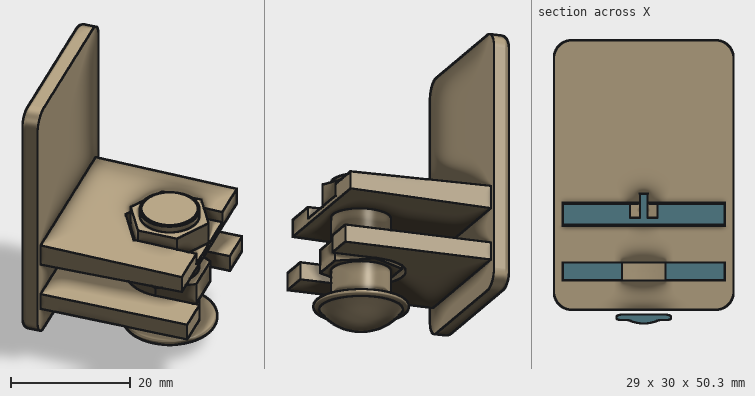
import cadquery as cq
import math

plate_thickness = 3.0
plate_width = 30.0
plate_height = 45.0
plate_top = 50.3
plate_corner_radius = 3.0
plate_edge_radius = 1.0

arm_width = 27.05
lower_arm_end = 29.0
lower_arm_bottom = 10.2
lower_arm_thickness = 3.0
lower_slot_width = 14.9
upper_arm_end = 28.05
upper_arm_middle = 21.2
upper_arm_root_thickness = 3.9
upper_arm_end_thickness = 3.0

head_radius = 8.0
bolt_x = lower_arm_end - head_radius
dome_height = 3.5
dome_radius = 7.0
flange_thickness = 1.0
shank_diameter = 10.0
shank_radius = shank_diameter / 2
bolt_top = 26.0
bolt_tip_chamfer_width = 0.3
bolt_tip_chamfer_height = 0.15

nut_across_flats = 11.95
nut_height = 4.0
upper_nut_top = 24.7
lower_nut_top = 14.35
pocket_width = 12.75
pocket_tip_x = 13.25
pocket_floor = upper_nut_top - nut_height


def make_plate():
    plate = (
        cq.Workplane("XY")
        .box(plate_thickness, plate_width, plate_height, centered=(False, True, False))
        .translate((0, 0, plate_top - plate_height))
    )
    return plate.edges("|X").fillet(plate_corner_radius).faces("<X").edges().fillet(plate_edge_radius)


def make_lower_arm():
    length = lower_arm_end - plate_thickness
    arm = (
        cq.Workplane("XY")
        .box(length, arm_width, lower_arm_thickness, centered=(False, True, False))
        .translate((plate_thickness, 0, lower_arm_bottom))
    )
    slot_radius = lower_slot_width / 2
    slot = (
        cq.Workplane("XY", origin=(0, 0, lower_arm_bottom))
        .moveTo(lower_arm_end, -slot_radius)
        .lineTo(bolt_x, -slot_radius)
        .threePointArc((bolt_x - slot_radius, 0), (bolt_x, slot_radius))
        .lineTo(lower_arm_end, slot_radius)
        .close()
        .extrude(lower_arm_thickness)
    )
    return arm.cut(slot)


def make_upper_arm():
    root_half = upper_arm_root_thickness / 2
    end_half = upper_arm_end_thickness / 2
    arm = (
        cq.Workplane("XZ")
        .moveTo(plate_thickness, upper_arm_middle - root_half)
        .lineTo(upper_arm_end, upper_arm_middle - end_half)
        .lineTo(upper_arm_end, upper_arm_middle + end_half)
        .lineTo(plate_thickness, upper_arm_middle + root_half)
        .close()
        .extrude(arm_width / 2, both=True)
    )
    half_width = pocket_width / 2
    shoulder_x = pocket_tip_x + half_width / math.tan(math.radians(60))
    pocket = (
        cq.Workplane("XY", origin=(0, 0, pocket_floor))
        .moveTo(pocket_tip_x, 0)
        .lineTo(shoulder_x, -half_width)
        .lineTo(upper_arm_end, -half_width)
        .lineTo(upper_arm_end, half_width)
        .lineTo(shoulder_x, half_width)
        .close()
        .extrude(upper_arm_root_thickness)
    )
    return arm.cut(pocket)


def make_bolt():
    sphere_radius = (dome_radius**2 + dome_height**2) / (2 * dome_height)
    half_angle = math.asin(dome_radius / sphere_radius) / 2
    arc_middle = (sphere_radius * math.sin(half_angle), sphere_radius * (1 - math.cos(half_angle)))
    flange_top = dome_height + flange_thickness
    rim_radius = flange_thickness / 2
    rim_middle = dome_height + rim_radius
    rim_start = head_radius - rim_radius
    return (
        cq.Workplane("XZ", origin=(bolt_x, 0, 0))
        .moveTo(0, 0)
        .threePointArc(arc_middle, (dome_radius, dome_height))
        .lineTo(rim_start, dome_height)
        .radiusArc((head_radius, rim_middle), -rim_radius)
        .radiusArc((rim_start, flange_top), -rim_radius)
        .lineTo(shank_radius, flange_top)
        .lineTo(shank_radius, bolt_top - bolt_tip_chamfer_height)
        .lineTo(shank_radius - bolt_tip_chamfer_width, bolt_top)
        .lineTo(0, bolt_top)
        .close()
        .revolve(360, (0, 0, 0), (0, 1, 0))
    )


def make_nut(top, turn):
    across_corners = nut_across_flats / math.cos(math.radians(30))
    nut = cq.Workplane("XY").polygon(6, across_corners).extrude(nut_height)
    return nut.rotate((0, 0, 0), (0, 0, 1), turn).translate((bolt_x, 0, top - nut_height))


result = (
    make_plate()
    .union(make_lower_arm())
    .union(make_upper_arm())
    .union(make_bolt())
    .union(make_nut(upper_nut_top, 0))
    .union(make_nut(lower_nut_top, 30))
)